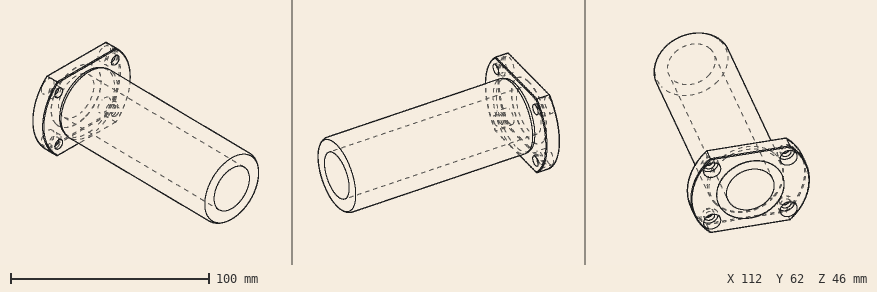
import cadquery as cq

length = 112
bore_diameter = 25.0
body_diameter = 40.0
body_radius = body_diameter / 2

flange_diameter = 62.0
flange_height = 46.0
flange_thickness = 8.0
flange_chamfer = 0.5

undercut_length = 1.6
undercut_start_depth = 0.6
undercut_middle_depth = 0.6

bevel_length = 1.6
bevel_depth = 0.9
bevel_middle_depth = 0.28

ring_diameter = 35.3
ring_depth = 0.2

hole_diameter = 5.5
counterbore_diameter = 9
counterbore_depth = 5.2
hole_spacing_y = 40.0
hole_spacing_z = 32.0


def make_flange():
    disc = cq.Workplane("YZ").circle(flange_diameter / 2).extrude(flange_thickness)
    between_flats = cq.Workplane("YZ").rect(flange_diameter, flange_height).extrude(flange_thickness)
    return disc.intersect(between_flats).faces("<X or >X").chamfer(flange_chamfer)


def make_body():
    """Body with its undercut and end bevel, revolved about the X axis."""
    undercut_start = (flange_thickness, body_radius - undercut_start_depth)
    undercut_middle = (flange_thickness + undercut_length / 2, body_radius - undercut_middle_depth)
    undercut_end = (flange_thickness + undercut_length, body_radius)
    bevel_start = (length - bevel_length, body_radius)
    bevel_middle = (length - bevel_length / 2, body_radius - bevel_middle_depth)
    bevel_end = (length, body_radius - bevel_depth)
    return (
        cq.Workplane("XY")
        .lineTo(0, undercut_start[1])
        .lineTo(*undercut_start)
        .threePointArc(undercut_middle, undercut_end)
        .lineTo(*bevel_start)
        .threePointArc(bevel_middle, bevel_end)
        .lineTo(length, 0)
        .close()
        .revolve(360, (0, 0, 0), (1, 0, 0))
    )


def make_bore():
    """Through bore with the shallow ring step at the flange face."""
    bore = cq.Workplane("YZ").circle(bore_diameter / 2).extrude(length)
    ring_step = cq.Workplane("YZ").circle(ring_diameter / 2).extrude(ring_depth)
    return bore.union(ring_step)


def make_mounting_holes():
    """Through holes with their counterbores opening on the outer flange face."""
    pattern = cq.Workplane("YZ").rect(hole_spacing_y, hole_spacing_z, forConstruction=True).vertices()
    through_holes = pattern.circle(hole_diameter / 2).extrude(flange_thickness)
    counterbores = pattern.circle(counterbore_diameter / 2).extrude(counterbore_depth)
    return through_holes.union(counterbores)


result = make_flange().union(make_body()).cut(make_bore()).cut(make_mounting_holes())